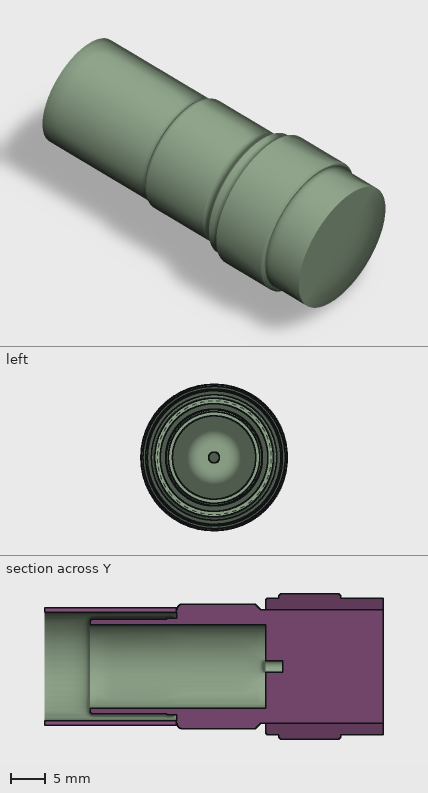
import cadquery as cq

LENGTH = 48.6

FERRULE_LENGTH = 18.95
FERRULE_RADIUS = 8.5
FERRULE_BORE_RADIUS = 7.75

SPIGOT_START = 6.5
SPIGOT_RADIUS = 6.85
SPIGOT_CHAMFER = 0.3
SPIGOT_ROOT_RADIUS = 6.95
SPIGOT_ROOT_LENGTH = 1.45
COLLAR_END = 31.0
COLLAR_RADIUS = 9.0
COLLAR_FILLET = 0.87
NECK_RADIUS = 8.15
CABLE_BORE_RADIUS = 6.0
CONTACT_HOLE_RADIUS = 0.8
CONTACT_HOLE_DEPTH = 2.45

NUT_START = 31.7
NUT_RADIUS = 9.8
NUT_CHAMFER = 0.25
GRIP_START = 33.58
GRIP_END = 42.45
GRIP_RADIUS = 10.5
GRIP_CHAMFER = 0.3


def cylinder(radius, start, end):
    """Solid cylinder on the X axis between two X positions."""
    return cq.Workplane("YZ", origin=(start, 0, 0)).circle(radius).extrude(end - start)


def make_ferrule():
    tube = cylinder(FERRULE_RADIUS, 0, FERRULE_LENGTH)
    return tube.cut(cylinder(FERRULE_BORE_RADIUS, 0, FERRULE_LENGTH))


def make_body():
    collar_start = FERRULE_LENGTH
    spigot = cylinder(SPIGOT_RADIUS, SPIGOT_START, collar_start)
    spigot = spigot.faces("<X").chamfer(SPIGOT_CHAMFER)
    spigot_root = cylinder(SPIGOT_ROOT_RADIUS, collar_start - SPIGOT_ROOT_LENGTH, collar_start)

    collar = cylinder(COLLAR_RADIUS, collar_start, COLLAR_END)
    collar = collar.faces("<X").edges().fillet(COLLAR_FILLET)
    collar = collar.faces(">X").edges().chamfer(COLLAR_RADIUS - NECK_RADIUS)
    neck = cylinder(NECK_RADIUS, COLLAR_END, LENGTH)
    body = collar.union(neck).union(spigot_root).union(spigot)

    body = body.cut(cylinder(CABLE_BORE_RADIUS, SPIGOT_START, NUT_START))
    return body.cut(cylinder(CONTACT_HOLE_RADIUS, NUT_START, NUT_START + CONTACT_HOLE_DEPTH))


def make_nut():
    sleeve = cylinder(NUT_RADIUS, NUT_START, LENGTH).faces("<X").chamfer(NUT_CHAMFER)
    grip = cylinder(GRIP_RADIUS, GRIP_START, GRIP_END).faces("<X or >X").chamfer(GRIP_CHAMFER)
    return sleeve.union(grip).cut(cylinder(NECK_RADIUS, NUT_START, LENGTH))


ferrule = make_ferrule()
body = make_body()
nut = make_nut()

result = cq.Compound.makeCompound([ferrule.val(), body.val(), nut.val()])